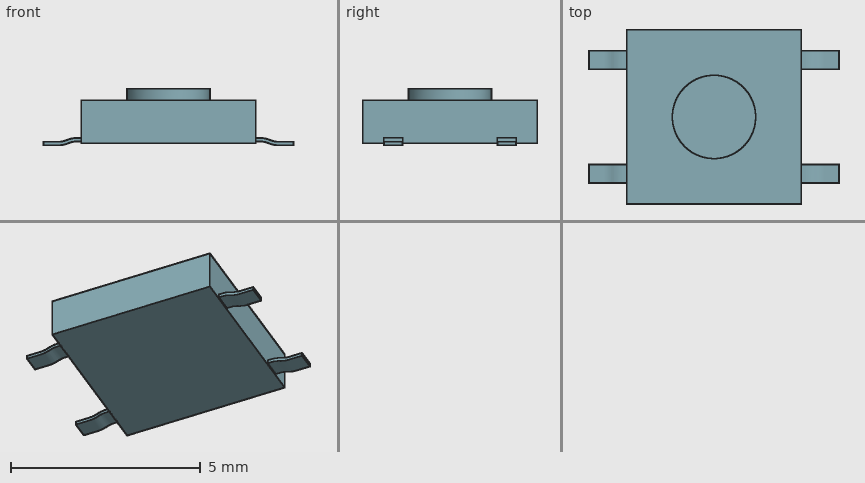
import cadquery as cq
import math

span = 6.6
total_height = 1.5

housing_side = 4.6
housing_bottom = 0.05
housing_top = 1.195

button_diameter = 2.2

lead_width = 0.495
lead_thickness = 0.1
lead_rise = 0.1
lead_pitch = 2.995
foot_length = 0.41
bend_angle = 20.0
bend_inner_radius = 0.5


def make_housing():
    height = housing_top - housing_bottom
    return (
        cq.Workplane("XY", origin=(0, 0, housing_bottom))
        .box(housing_side, housing_side, height, centered=(True, True, False))
    )


def make_button():
    return (
        cq.Workplane("XY", origin=(0, 0, housing_top))
        .circle(button_diameter / 2)
        .extrude(total_height - housing_top)
    )


def polar(center, radius, degrees):
    """Point at an angle on a circle in the XZ plane."""
    angle = math.radians(degrees)
    return (center[0] + radius * math.cos(angle), center[1] + radius * math.sin(angle))


def make_left_lead(y_center):
    """Lead on the -X side, its S-shaped profile extruded along Y."""
    inner = bend_inner_radius
    outer = inner + lead_thickness
    bend = math.radians(bend_angle)

    arc_rise = (inner + outer) * (1 - math.cos(bend))
    slope_run = (lead_rise - arc_rise) / math.tan(bend)
    bend_run = (inner + outer) * math.sin(bend) + slope_run

    tip_x = -span / 2
    wall_x = -housing_side / 2
    lower_center = (tip_x + foot_length, outer)
    upper_center = (lower_center[0] + bend_run, lead_rise + lead_thickness - outer)

    down, down_mid, down_slope = -90, -90 + bend_angle / 2, -90 + bend_angle
    up, up_mid, up_slope = 90, 90 + bend_angle / 2, 90 + bend_angle

    profile = (
        cq.Workplane("XZ", origin=(0, y_center + lead_width / 2, 0))
        .moveTo(tip_x, 0)
        .lineTo(*polar(lower_center, outer, down))
        .threePointArc(polar(lower_center, outer, down_mid), polar(lower_center, outer, down_slope))
        .lineTo(*polar(upper_center, inner, up_slope))
        .threePointArc(polar(upper_center, inner, up_mid), polar(upper_center, inner, up))
        .lineTo(wall_x, lead_rise)
        .lineTo(wall_x, lead_rise + lead_thickness)
        .lineTo(*polar(upper_center, outer, up))
        .threePointArc(polar(upper_center, outer, up_mid), polar(upper_center, outer, up_slope))
        .lineTo(*polar(lower_center, inner, down_slope))
        .threePointArc(polar(lower_center, inner, down_mid), polar(lower_center, inner, down))
        .lineTo(tip_x, lead_thickness)
        .close()
    )
    return profile.extrude(lead_width)


housing = make_housing()
button = make_button()

leads = []
for y_center in (-lead_pitch / 2, lead_pitch / 2):
    left_lead = make_left_lead(y_center)
    leads.append(left_lead.val())
    leads.append(left_lead.mirror("YZ").val())

result = cq.Compound.makeCompound([housing.val(), button.val(), *leads])